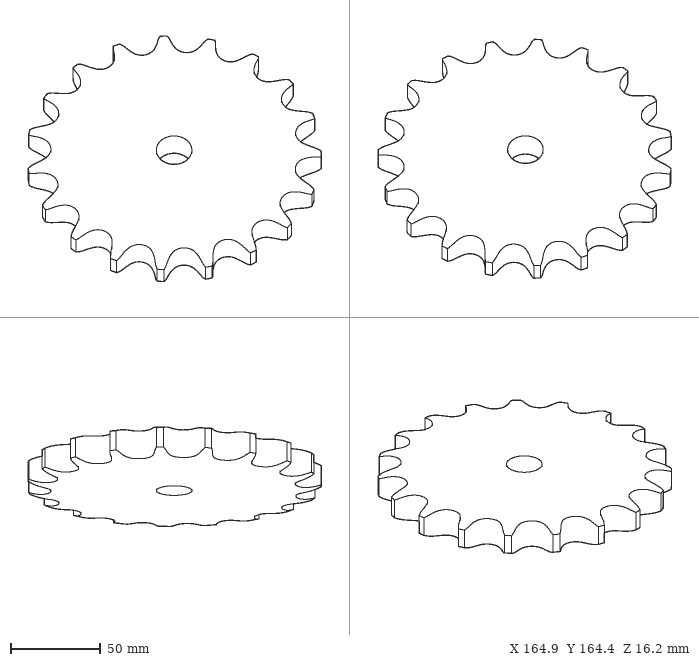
import cadquery as cq
import math

tooth_count = 19
chain_pitch = 25.4
outer_radius = 82.6
thickness = 16.2
bore_diameter = 20.0
flat_radius = 71.2
side_curve_radius = 27.2
rim_margin = 0.8

half_step = math.pi / tooth_count
pitch_radius = chain_pitch / (2 * math.sin(half_step))
roller_diameter = 0.625 * chain_pitch
seating_clearance = 0.003 * chain_pitch
seating_radius = (1.005 * roller_diameter + seating_clearance) / 2
working_radius = 1.3025 * roller_diameter + seating_clearance / 2
working_center_distance = 0.8 * roller_diameter
topping_center_distance = 1.4 * roller_diameter
seating_angle = math.radians(35 + 60 / tooth_count)
working_angle = math.radians(18 - 56 / tooth_count)
topping_angle = math.radians(17 - 64 / tooth_count)
topping_radius = roller_diameter * (
    0.8 * math.cos(working_angle) + 1.4 * math.cos(topping_angle) - 1.3025
) - seating_clearance / 2
straight_length = roller_diameter * (1.4 * math.sin(topping_angle) - 0.8 * math.sin(working_angle))


def along(start, angle, distance):
    """Point at a distance from start in the given direction."""
    return (start[0] + distance * math.cos(angle), start[1] + distance * math.sin(angle))


def rotated(point, angle):
    """Point turned about the sprocket axis."""
    cosine, sine = math.cos(angle), math.sin(angle)
    return (point[0] * cosine - point[1] * sine, point[0] * sine + point[1] * cosine)


def mirrored(point):
    """Point reflected across the gap centre line (the Y axis)."""
    return (-point[0], point[1])


roller_center = (0, pitch_radius)
gap_bottom = (0, pitch_radius - seating_radius)

working_center = along(roller_center, math.pi - seating_angle, working_center_distance)
working_start_angle = -seating_angle
working_end_angle = working_start_angle + working_angle
working_start = along(working_center, working_start_angle, working_radius)
working_middle = along(working_center, (working_start_angle + working_end_angle) / 2, working_radius)
working_end = along(working_center, working_end_angle, working_radius)

topping_start = along(working_end, working_end_angle + math.pi / 2, straight_length)
topping_center = along(roller_center, -half_step, topping_center_distance)
topping_start_angle = math.atan2(
    topping_start[1] - topping_center[1], topping_start[0] - topping_center[0]
)

topping_center_radius = math.hypot(*topping_center)
outward_angle = math.atan2(topping_center[1], topping_center[0])
tip_cosine = (outer_radius**2 - topping_center_radius**2 - topping_radius**2) / (
    2 * topping_center_radius * topping_radius
)
topping_end_angle = outward_angle + math.acos(tip_cosine)
topping_middle = along(topping_center, (topping_start_angle + topping_end_angle) / 2, topping_radius)
topping_end = along(topping_center, topping_end_angle, topping_radius)


def draw_gap(outline, turn):
    """Continue the outline through one gap, turned about the axis, and over the tooth tip after it."""
    def right(point):
        return rotated(point, turn)

    def left(point):
        return rotated(mirrored(point), turn)

    tip_middle = rotated((0, outer_radius), turn - half_step)
    next_gap_start = rotated(mirrored(topping_end), turn - 2 * half_step)
    return (
        outline
        .threePointArc(left(topping_middle), left(topping_start))
        .lineTo(*left(working_end))
        .threePointArc(left(working_middle), left(working_start))
        .threePointArc(right(gap_bottom), right(working_start))
        .threePointArc(right(working_middle), right(working_end))
        .lineTo(*right(topping_start))
        .threePointArc(right(topping_middle), right(topping_end))
        .threePointArc(tip_middle, next_gap_start)
    )


def toothed_blank():
    """Full-thickness plate with the toothed outline, gaps drawn clockwise."""
    outline = cq.Workplane("XY").workplane(offset=-thickness / 2).moveTo(*mirrored(topping_end))
    for gap in range(tooth_count):
        outline = draw_gap(outline, -2 * half_step * gap)
    return outline.close().extrude(thickness)


def rounded_disc():
    """Revolved disc whose rim is thinned by an arc on both faces."""
    half = thickness / 2

    def side_height(radius):
        reach = radius - flat_radius
        return half - side_curve_radius + math.sqrt(side_curve_radius**2 - reach**2)

    rim_radius = outer_radius + rim_margin
    middle_radius = (flat_radius + rim_radius) / 2
    rim_height = side_height(rim_radius)
    middle_height = side_height(middle_radius)
    return (
        cq.Workplane("XZ")
        .moveTo(0, -half)
        .lineTo(flat_radius, -half)
        .threePointArc((middle_radius, -middle_height), (rim_radius, -rim_height))
        .lineTo(rim_radius, rim_height)
        .threePointArc((middle_radius, middle_height), (flat_radius, half))
        .lineTo(0, half)
        .close()
        .revolve(360, (0, 0, 0), (0, 1, 0))
    )


bore = cq.Workplane("XY").circle(bore_diameter / 2).extrude(thickness, both=True)

result = toothed_blank().intersect(rounded_disc()).cut(bore)